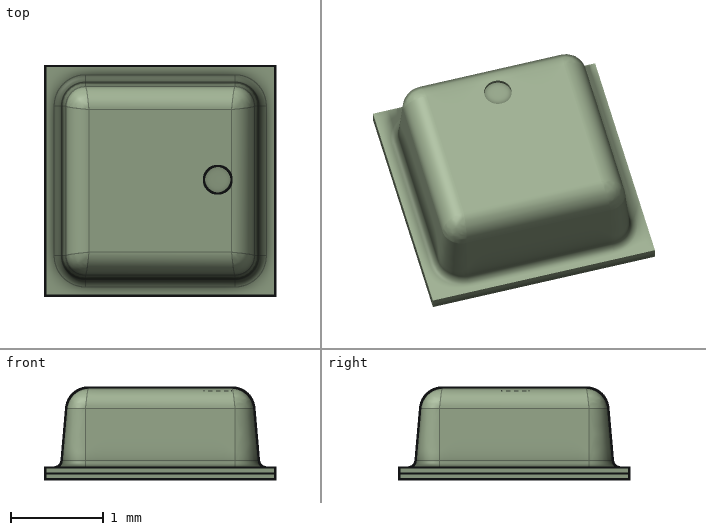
import cadquery as cq

side = 2.5
base_thickness = 0.065
flange_thickness = 0.065
total_height = 1.0

dome_foot_width = 2.16
dome_corner_radius = 0.268
draft_angle = 5.0
top_edge_radius = 0.25
foot_fillet_radius = 0.08

marker_diameter = 0.3
marker_depth = 0.04
marker_x = 0.625
marker_y = 0.012

flange_top = base_thickness + flange_thickness
dome_height = total_height - flange_top


def make_base():
    """Plain square plate under the lid."""
    return cq.Workplane("XY").rect(side, side).extrude(base_thickness)


def make_dome():
    """Drafted block with round corners and a large rounding around its top."""
    footprint = (
        cq.Sketch()
        .rect(dome_foot_width, dome_foot_width)
        .vertices()
        .fillet(dome_corner_radius)
    )
    dome = (
        cq.Workplane("XY", origin=(0, 0, flange_top))
        .placeSketch(footprint)
        .extrude(dome_height, taper=draft_angle)
    )
    return dome.faces(">Z").edges().fillet(top_edge_radius)


def make_lid():
    """Flange and dome in one piece, blended at the dome foot, with the marker recess on top."""
    flange = cq.Workplane("XY", origin=(0, 0, base_thickness)).rect(side, side).extrude(flange_thickness)
    lid = flange.union(make_dome())

    reach = (dome_foot_width + side) / 4
    margin = flange_thickness / 2
    foot_edges = cq.selectors.BoxSelector(
        (-reach, -reach, flange_top - margin),
        (reach, reach, flange_top + margin),
        boundingbox=True,
    )
    lid = lid.edges(foot_edges).fillet(foot_fillet_radius)

    marker = (
        cq.Workplane("XY", origin=(marker_x, marker_y, total_height - marker_depth))
        .circle(marker_diameter / 2)
        .extrude(marker_depth)
    )
    return lid.cut(marker)


base = make_base()
lid = make_lid()

result = cq.Compound.makeCompound([base.val(), lid.solids().val()])